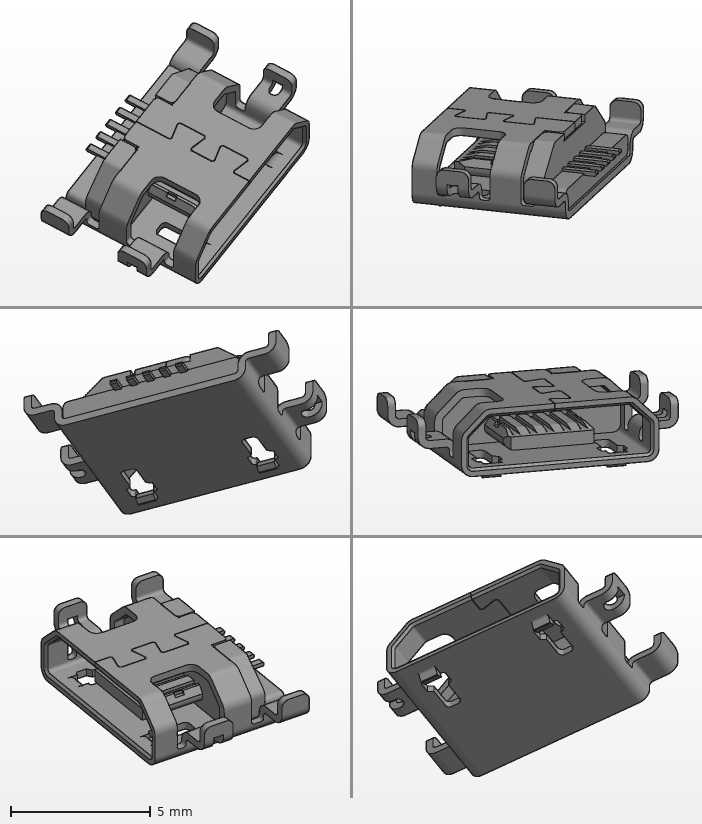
import cadquery as cq
import math

EPS = 0.01

sheet = 0.3
bend_in = 0.15
bend_out = bend_in + sheet

shell_length = 5.83
half_width = 3.75
inner_half = half_width - sheet
shell_height = 2.46
roof_under = shell_height - sheet
shoulder_z = 1.56
roof_half = 2.81
mouth_chamfer = 0.1
rear_edge_x = 1.69
tab_start_x = 0.99
tab_half = 1.1
tab_tip_r = 0.17
tab_root_r = 0.15

window_x = (2.87, 4.88)
window_half_gap = 1.75
window_r = 0.35
slot_floor_z = 0.495
rear_slot_floor_z = 0.46
slot_floor_r = 0.12

rear_leg_x = (0.0, 1.18)
front_leg_x = (3.28, 4.5)
leg_bottom_z = 0.82
leg_top_z = 1.89
leg_reach = 4.95
leg_corner_r = 0.3
leg_hole_width = 0.42
leg_hole_start_y = 4.25
leg_hole_top_z = 1.35

seam_y = -0.22
seam_top_y = 0.58
seam_gap = 0.02
seam_r = 0.1
seam_overrun = 0.495
dovetail_centers = (2.88, 4.71)
dovetail_neck_half = 0.39
dovetail_head_half = 0.59

latch_y = 2.38
latch_width = 0.69
keyhole_x = (3.38, 4.93)
keyhole_narrow = 0.61
keyhole_wide = 1.01
keyhole_flare_x = (4.33, 4.455)
keyhole_r = 0.1
keyhole_end_r = 0.18
latch_root_x = 5.35
latch_bend_in = 0.1
latch_angle = 62.0
latch_depth = 0.26
latch_straight = 0.26

housing_start_x = 0.09
housing_step_x = 0.93
housing_end_x = 2.475
ledge_z = 1.1
housing_shoulder_z = 1.42
housing_roof_half = 2.26
housing_height = 2.44
ledge_r = 0.22
housing_low_r = 0.3
housing_shoulder_r = 0.35
housing_roof_r = 0.25
notch_half = 1.17

tongue_half = 1.72
tongue_z = (0.61, 1.26)
tongue_tip_x = 4.95
tongue_bottom_r = 0.25
tongue_edge_drop = 0.28
tongue_edge_inset = 0.2
tongue_taper_x = 4.26
tongue_land_x = 4.83
tongue_land_z = 1.11
tongue_nose_x = 4.52
tongue_nose_inset = 0.15
tongue_nick_x = (3.19, 3.56)
tongue_recess_z = 1.13
tongue_nick_depth = 0.25

contact_count = 5
contact_pitch = 0.64
contact_width = 0.26
contact_rows = [(index - (contact_count - 1) / 2) * contact_pitch for index in range(contact_count)]
pin_z = (1.03, 1.19)
pin_tip_x = -0.37
pin_tip_chamfer = 0.05


def box(x_range, y_range, z_range):
    """Axis-aligned box between pairs of limits."""
    return cq.Workplane("XY").box(
        x_range[1] - x_range[0], y_range[1] - y_range[0], z_range[1] - z_range[0], centered=False
    ).translate((x_range[0], y_range[0], z_range[0]))


def both_sides(solid):
    """The solid together with its mirror image across the centre plane."""
    return solid.union(solid.mirror("XZ"))


def six_sided(half, floor_z, shoulder, roof, top_z, x_range):
    """Bar along X: a rectangle whose two upper corners are sloped off."""
    points = [
        (-half, floor_z), (half, floor_z), (half, shoulder),
        (roof, top_z), (-roof, top_z), (-half, shoulder),
    ]
    outline = cq.Workplane("YZ", origin=(x_range[0], 0, 0)).polyline(points).close()
    return outline.extrude(x_range[1] - x_range[0])


def shell_tube():
    """Closed tube of constant wall thickness, rounded at every bend."""
    outer = six_sided(half_width, 0, shoulder_z, roof_half, shell_height, (0, shell_length))
    outer = outer.edges("|X").fillet(bend_out)
    inner = outer.faces(">X").wires().toPending().workplane().offset2D(-sheet)
    bore = inner.extrude(-shell_length, combine=False)
    tube = outer.cut(bore)
    front_face = tube.faces(">X").val()
    return tube.newObject(front_face.innerWires()).edges().chamfer(mouth_chamfer)


def leg_slot(x_range, floor_z):
    """Opening down one side wall with rounded bottom corners."""
    slot = box(x_range, (inner_half - bend_in, half_width + EPS), (floor_z, shell_height))
    return slot.edges("|Y and <Z").fillet(slot_floor_r)


def shell_openings():
    """Rear roof relief and side window, for the +Y side."""
    side = (window_half_gap, half_width + EPS)
    window = box(window_x, side, (leg_bottom_z, shell_height + EPS))
    window = window.edges("|Z and <Y").fillet(window_r)
    relief = box((-EPS, rear_edge_x), (tab_half, half_width + EPS), (leg_bottom_z, shell_height + EPS))
    relief = relief.edges("|Z and <Y and >X").fillet(tab_root_r)
    cuts = window.union(relief)
    cuts = cuts.union(leg_slot((rear_leg_x[1], rear_edge_x), rear_slot_floor_z))
    cuts = cuts.union(leg_slot((window_x[0], front_leg_x[0]), slot_floor_z))
    cuts = cuts.union(leg_slot((front_leg_x[1], window_x[1]), slot_floor_z))
    bend_start_z = leg_bottom_z - bend_in
    wall = (inner_half - bend_in, half_width + EPS)
    for leg_x in (rear_leg_x, front_leg_x):
        cuts = cuts.union(box((leg_x[0] - EPS, leg_x[1]), wall, (bend_start_z, shell_height)))
    return cuts


def tab_relief():
    """Space behind the central roof tab, leaving its tip corners rounded."""
    space = box((-EPS, rear_edge_x), (-tab_half - EPS, tab_half + EPS), (leg_bottom_z, shell_height + EPS))
    tab = box((tab_start_x, rear_edge_x + EPS), (-tab_half, tab_half), (0, shell_height + 2 * EPS))
    tab = tab.edges("|Z and <X").fillet(tab_tip_r)
    return space.cut(tab)


def leg(x_range):
    """Leg on the +Y side: out of the wall, outward, then up to a rounded end."""
    inner_bend = (half_width + bend_in, leg_bottom_z - bend_in)
    outer_bend = (leg_reach - bend_out, leg_bottom_z + bend_out)
    top_z = leg_bottom_z + sheet
    diag = math.sqrt(0.5)
    strip = (
        cq.Workplane("YZ", origin=(x_range[0], 0, 0))
        .moveTo(half_width, inner_bend[1] - EPS)
        .lineTo(half_width, inner_bend[1])
        .threePointArc(
            (inner_bend[0] - bend_in * diag, inner_bend[1] + bend_in * diag), (inner_bend[0], leg_bottom_z)
        )
        .lineTo(outer_bend[0], leg_bottom_z)
        .threePointArc(
            (outer_bend[0] + bend_out * diag, outer_bend[1] - bend_out * diag), (leg_reach, outer_bend[1])
        )
        .lineTo(leg_reach, leg_top_z)
        .lineTo(leg_reach - sheet, leg_top_z)
        .lineTo(leg_reach - sheet, outer_bend[1])
        .threePointArc(
            (outer_bend[0] + bend_in * diag, outer_bend[1] - bend_in * diag), (outer_bend[0], top_z)
        )
        .lineTo(inner_bend[0], top_z)
        .threePointArc(
            (inner_bend[0] - bend_out * diag, inner_bend[1] + bend_out * diag), (inner_half, inner_bend[1])
        )
        .lineTo(inner_half, inner_bend[1] - EPS)
        .close()
        .extrude(x_range[1] - x_range[0])
    )
    return strip.edges("|Y and >Z").fillet(leg_corner_r)


def leg_hole():
    """Round-ended hole through the outer bend of the front leg."""
    radius = leg_hole_width / 2
    center_x = sum(front_leg_x) / 2
    round_y = leg_hole_start_y + radius
    start_z = leg_bottom_z - EPS
    hole = box((center_x - radius, center_x + radius), (round_y, leg_reach + EPS), (start_z, leg_hole_top_z))
    round_end = cq.Workplane("XY", origin=(center_x, round_y, start_z)).circle(radius)
    return hole.union(round_end.extrude(leg_hole_top_z - start_z))


def seam():
    """Thin gap through the roof, following two dovetails."""
    near_x = -seam_overrun
    far_x = shell_length + seam_overrun
    points = [(near_x, seam_y)]
    for center in dovetail_centers:
        points += [
            (center - dovetail_neck_half, seam_y), (center - dovetail_head_half, seam_top_y),
            (center + dovetail_head_half, seam_top_y), (center + dovetail_neck_half, seam_y),
        ]
    points += [(far_x, seam_y), (far_x, -tab_half), (near_x, -tab_half)]
    half = cq.Workplane("XY", origin=(0, 0, roof_under)).polyline(points).close().extrude(sheet)
    half = half.edges("|Z").fillet(seam_r)
    grown = half.faces("<Z").wires().toPending().workplane().offset2D(seam_gap).extrude(-sheet, combine=False)
    roof = box((0, shell_length), (seam_y - seam_gap, tab_half), (roof_under, shell_height))
    return grown.cut(half).intersect(roof)


def keyhole():
    """Floor opening in front of the latch on the +Y side."""
    narrow = keyhole_narrow / 2
    wide = keyhole_wide / 2
    points = [
        (keyhole_x[0], -narrow), (keyhole_flare_x[0], -narrow), (keyhole_flare_x[1], -wide),
        (keyhole_x[1], -wide), (keyhole_x[1], wide), (keyhole_flare_x[1], wide),
        (keyhole_flare_x[0], narrow), (keyhole_x[0], narrow),
    ]
    hole = cq.Workplane("XY", origin=(0, latch_y, -EPS)).polyline(points).close().extrude(sheet + 2 * EPS)
    hole = hole.edges("|Z and <X").fillet(keyhole_end_r)
    return hole.edges("|Z and >X").fillet(keyhole_r)


def latch():
    """Strip of floor bent down toward the rear, on the +Y side."""
    angle = math.radians(latch_angle)
    center_z = -latch_bend_in
    bend_top = latch_bend_in + sheet

    def on_bend(radius, turn):
        return (latch_root_x - radius * math.sin(turn), center_z + radius * math.cos(turn))

    under_end = on_bend(latch_bend_in, angle)
    tip_shift = (-latch_straight * math.cos(angle), -latch_straight * math.sin(angle))
    upper_end = on_bend(bend_top, angle)
    strip = (
        cq.Workplane("XZ", origin=(0, latch_y + latch_width / 2, 0))
        .moveTo(latch_root_x, 0)
        .threePointArc(on_bend(latch_bend_in, angle / 2), under_end)
        .lineTo(under_end[0] + tip_shift[0], under_end[1] + tip_shift[1])
        .lineTo(upper_end[0] + tip_shift[0], upper_end[1] + tip_shift[1])
        .lineTo(*upper_end)
        .threePointArc(on_bend(bend_top, angle / 2), (latch_root_x, sheet))
        .close()
        .extrude(latch_width)
    )
    return strip.intersect(box((0, shell_length), (0, half_width), (-latch_depth, sheet)))


def latch_clearance():
    """Floor material removed where the latch bends away."""
    return box(
        (keyhole_x[1] - EPS, latch_root_x),
        (latch_y - latch_width / 2, latch_y + latch_width / 2),
        (-EPS, sheet + EPS),
    )


def shell():
    """Complete sheet-metal shell with legs and latches."""
    legs = leg(rear_leg_x).union(leg(front_leg_x).cut(leg_hole()))
    body = shell_tube().cut(both_sides(shell_openings())).cut(tab_relief()).cut(seam())
    body = body.cut(both_sides(keyhole().union(latch_clearance())))
    return body.union(both_sides(legs)).union(both_sides(latch()))


def housing():
    """Plastic body: rear ledge, sloped block and a notch under the roof tab."""
    block = six_sided(
        inner_half, sheet, housing_shoulder_z, housing_roof_half, housing_height,
        (housing_step_x, housing_end_x),
    )
    block = block.edges("|X and <Z").fillet(housing_low_r)
    block = block.edges("|X and >Z").fillet(housing_roof_r)
    block = block.edges("|X").edges(">Y or <Y").edges(">Z").fillet(housing_shoulder_r)
    above = (roof_under, shell_height + EPS)
    under_roof = box((rear_edge_x, housing_end_x + EPS), (-half_width, half_width), above)
    notch = box((housing_step_x - EPS, rear_edge_x + EPS), (-notch_half, notch_half), above)
    ledge = box((housing_start_x, housing_step_x), (-inner_half, inner_half), (sheet, ledge_z))
    ledge = ledge.edges("|X").fillet(ledge_r)
    relief = under_roof.union(notch)
    relief = relief.edges("|Z and (not <X) and (not >X)").fillet(tab_root_r + notch_half - tab_half)
    return block.cut(relief).union(ledge)


def tongue():
    """Contact tongue with sloped upper edges and a tapered tip."""
    x_range = (housing_end_x - EPS, tongue_tip_x)
    bar = six_sided(
        tongue_half, tongue_z[0], tongue_z[1] - tongue_edge_drop, tongue_half - tongue_edge_inset,
        tongue_z[1], x_range,
    )
    bar = bar.edges("|X and <Z").fillet(tongue_bottom_r)
    taper = (
        cq.Workplane("XZ", origin=(0, half_width, 0))
        .polyline([
            (tongue_taper_x, tongue_z[1]), (tongue_land_x, tongue_land_z),
            (tongue_tip_x, tongue_land_z), (tongue_tip_x, tongue_z[1]),
        ])
        .close()
        .extrude(2 * half_width)
    )
    nick = box(tongue_nick_x, (tongue_half - tongue_nick_depth, tongue_half), (tongue_recess_z, tongue_z[1]))
    nose = (
        cq.Workplane("XY")
        .polyline([
            (tongue_nose_x, tongue_half), (tongue_tip_x, tongue_half - tongue_nose_inset),
            (tongue_tip_x, tongue_half),
        ])
        .close()
        .extrude(shell_height)
    )
    bar = bar.cut(taper).cut(both_sides(nick.union(nose)))
    for y in contact_rows:
        side = (y - contact_width / 2, y + contact_width / 2)
        bar = bar.cut(box((housing_end_x, tongue_tip_x), side, (tongue_recess_z, tongue_z[1])))
    return bar


def pins():
    """Row of flat pins leaving the rear of the housing."""
    row = cq.Workplane("XY")
    for y in contact_rows:
        side = (y - contact_width / 2, y + contact_width / 2)
        pin = box((pin_tip_x, housing_step_x + EPS), side, pin_z)
        row = row.union(pin.edges("|Y and <X").chamfer(pin_tip_chamfer))
    return row


result = shell().union(housing()).union(tongue()).union(pins())